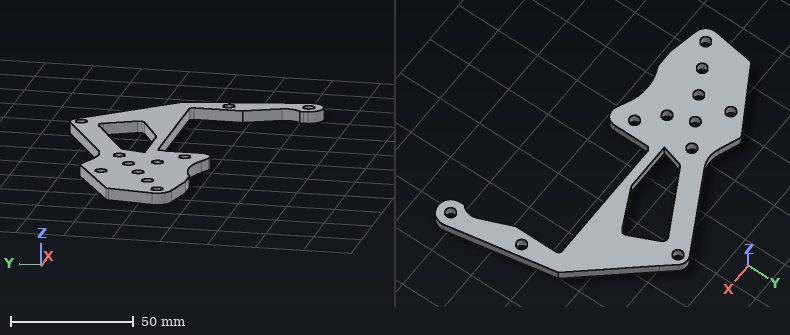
import cadquery as cq
import math

thickness = 5.08
hole_diameter = 4.65

row_pitch = 12.7
row_angle = 30.0
row_steps = [0, 1, 2, 3, 4, 8]

plate_holes = [(20.61, 27.94), (37.44, 8.0), (47.28, -1.26)]
leg_hole = (121.92, -3.45)
boss_center = (127.0, -35.72)

corner_radius = 6.35
boss_radius = 6.35
tip_radius = 4.77
valley_radius = 12.7
plate_foot_radius = 5.08
inner_corner_radius = 1.6
break_radius = 1.6
recess_radius = 22.86
neck_radius = 7.0

plate_right = 54.05
strip_bottom = 11.57
leg_left = 116.31
plate_bottom = -9.04

plate_corner = (-7.14, -4.97)
plate_left_top = (-3.43, 20.48)
plate_peak = (27.88, 38.62)
valley = (43.47, 32.38)
slant_bend = (96.78, 47.75)
shoulder = (123.81, 16.46)
leg_knee = (leg_left, -10.38)
leg_inner_top = (leg_left, strip_bottom)
strip_inner_left = (plate_right, strip_bottom)
plate_foot = (plate_right, -14.42)
recess_right = (42.5, -9.17)
recess_left = (20.9, plate_bottom)
plate_bottom_left = (12.12, plate_bottom)

neck_start = (122.48, -25.3)
neck_end = (120.6, -33.3)
boss_flat_top = (120.47, -34.8)
boss_bottom = (boss_center[0], boss_center[1] - boss_radius)

window_floor = 16.2
window_points = [(50.41, window_floor), (53.23, 26.29), (85.8, 43.71), (93.88, 26.28), (73.26, window_floor)]
window_corner_radii = [1.6, 2.4, 2.4]


def row_point(step):
    """Point on the slanted row, a number of pitches from the origin."""
    angle = math.radians(row_angle)
    return (step * row_pitch * math.cos(angle), step * row_pitch * math.sin(angle))


def tangent_point(point, center, radius, side):
    """Where the line from a point touches a circle, passing it on the left (side 1) or right (side -1)."""
    dx = center[0] - point[0]
    dy = center[1] - point[1]
    bearing = math.atan2(dy, dx) + side * math.asin(radius / math.hypot(dx, dy))
    length = math.sqrt(dx**2 + dy**2 - radius**2)
    return (point[0] + length * math.cos(bearing), point[1] + length * math.sin(bearing))


def round_corner(body, point, radius):
    """Round the upright edge nearest to a point of the outline."""
    middle = (point[0], point[1], thickness / 2)
    return body.edges("|Z").edges(cq.NearestToPointSelector(middle)).fillet(radius)


def make_outline():
    """Plate, arms and leg with sharp corners, ending in the round boss below the leg."""
    tip_center = row_point(row_steps[-1])
    tip_left = tangent_point(valley, tip_center, tip_radius, 1)
    tip_top = (tip_center[0], tip_center[1] + tip_radius)
    tip_right = tangent_point(slant_bend, tip_center, tip_radius, -1)
    boss_right = tangent_point(shoulder, boss_center, boss_radius, 1)
    boss_left = tangent_point(boss_flat_top, boss_center, boss_radius, -1)
    return (
        cq.Workplane("XY")
        .moveTo(*recess_left)
        .lineTo(*plate_bottom_left)
        .lineTo(*plate_corner)
        .lineTo(*plate_left_top)
        .lineTo(*plate_peak)
        .lineTo(*valley)
        .lineTo(*tip_left)
        .threePointArc(tip_top, tip_right)
        .lineTo(*slant_bend)
        .lineTo(*shoulder)
        .lineTo(*boss_right)
        .threePointArc(boss_bottom, boss_left)
        .lineTo(*boss_flat_top)
        .lineTo(*neck_end)
        .radiusArc(neck_start, -neck_radius)
        .lineTo(*leg_knee)
        .lineTo(*leg_inner_top)
        .lineTo(*strip_inner_left)
        .lineTo(*plate_foot)
        .lineTo(*recess_right)
        .radiusArc(recess_left, -recess_radius)
        .close()
        .extrude(thickness)
    )


def round_outline(body):
    """Round the corners of the outline that are not left sharp."""
    rounded_corners = [
        (plate_corner, corner_radius),
        (plate_left_top, break_radius),
        (plate_peak, break_radius),
        (valley, valley_radius),
        (leg_inner_top, inner_corner_radius),
        (strip_inner_left, inner_corner_radius),
        (plate_foot, plate_foot_radius),
    ]
    for point, radius in rounded_corners:
        body = round_corner(body, point, radius)
    return body


def make_window():
    """Cutter for the five-sided window, with its two lowest corners left sharp."""
    window = cq.Workplane("XY").polyline(window_points).close().extrude(thickness)
    for point, radius in zip(window_points[1:4], window_corner_radii):
        window = round_corner(window, point, radius)
    return window


def make_holes():
    """Cutter for all the through holes, which share one diameter."""
    centers = [row_point(step) for step in row_steps] + plate_holes + [leg_hole, boss_center]
    return cq.Workplane("XY").pushPoints(centers).circle(hole_diameter / 2).extrude(thickness)


result = round_outline(make_outline()).cut(make_window()).cut(make_holes())